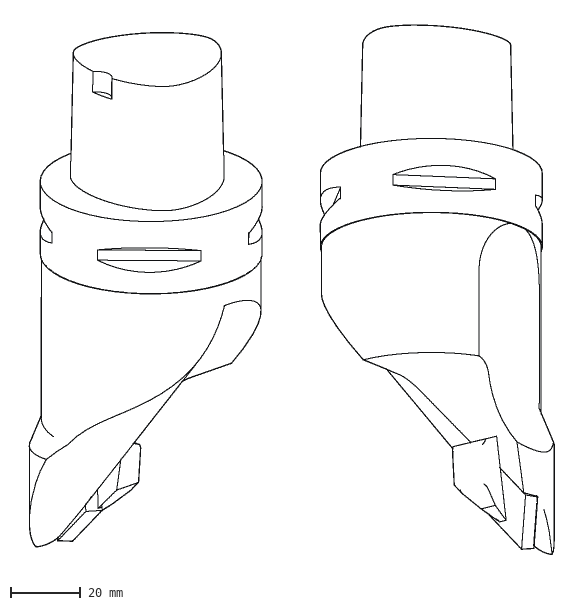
import cadquery as cq
import math

shank_height = 37.9
shank_base_radius = 22.0
shank_top_radius = 21.22
lobe_count = 3
lobe_half_angle = 36.0
curve_steps = 12
lobe_height = 1.65
notch_radius = 4.7
notch_depth = 6.3
notch_center_y = -22.1

flange_radius = 63.5 / 2
flange_bottom = -22.2
groove_count = 4
groove_half_length = 14.8
groove_center_z = -11.8
groove_floor_half_width = 1.5
groove_mouth_half_width = 3.8

body_radius = 63.0 / 2
body_bottom = -72.9

head_radius = 32.8
head_center_x = -3.0
head_bottom = -119.9
shoulder_z = -78.5
shoulder_tilt = 8.6

recess_floor_x = -28.1
recess_flat_top = -38.5
recess_flat_bottom = -68.6
recess_arc_sweep = 40.0
recess_upper_radius = 42.6
recess_lower_radius = 33.9

ridge_radius = 22.1
ridge_web_height = 10.7
ridge_crest_upper = cq.Vector(26.5, -18.5, -51.0)
ridge_crest_lower = cq.Vector(-31.5, -11.0, -117.0)

ledge_z = -64.4
chip_face_tip_y = 0.2
chip_face_tilt = 10.5
chip_fillet = 5.2

insert_tip_x = -32.7
insert_edge = 15.6
insert_thickness = 6.3
insert_left_angle = 103.2
insert_right_angle = 50.0
insert_side_taper = 3.0
insert_relief_gap = 0.8

clamp_left_x = -28.4
clamp_tip_x = -26.0
clamp_right_x = -16.5
clamp_right_z = -100.2
clamp_top_z = -86.0
clamp_bottom_z = -110.7
clamp_crown_y = 12.3
clamp_crown_top_z = -88.7
clamp_crown_bottom_z = -102.2
clamp_toe_y = 7.0
clamp_toe_z = -107.6
clamp_root = 1.5
clamp_round = 1.0

reach = 94.7
overrun = 7.9


def chip_face_y(z):
    """Y of the tilted chip face at height z."""
    return chip_face_tip_y + (z - head_bottom) * math.tan(math.radians(chip_face_tilt))


def direction(angle):
    return math.cos(math.radians(angle)), math.sin(math.radians(angle))


def lobed_point(mean_radius, z, angle):
    """Point on a constant-width three-lobed curve with one lobe on +Y; angle in degrees."""
    cos_angle, sin_angle = direction(angle)
    cos_lobe, sin_lobe = direction(lobe_count * (angle - 90))
    support = mean_radius + lobe_height * cos_lobe
    slope = -lobe_count * lobe_height * sin_lobe
    x = support * cos_angle - slope * sin_angle
    y = support * sin_angle + slope * cos_angle
    return cq.Vector(x, y, z)


def lobed_wire(mean_radius, z):
    """Closed three-lobed outline made of alternating lobe and flank curves."""
    pitch = 360 / lobe_count
    breaks = []
    for i in range(lobe_count):
        lobe = 90 + pitch * i
        breaks += [lobe - lobe_half_angle, lobe + lobe_half_angle]
    breaks.append(breaks[0] + 360)
    edges = []
    for start, end in zip(breaks, breaks[1:]):
        step = (end - start) / curve_steps
        points = [lobed_point(mean_radius, z, start + k * step) for k in range(curve_steps + 1)]
        edges.append(cq.Edge.makeSpline(points))
    return cq.Wire.assembleEdges(edges)


def make_shank():
    base = lobed_wire(shank_base_radius, 0)
    top = lobed_wire(shank_top_radius, shank_height)
    shank = cq.Workplane(cq.Solid.makeLoft([base, top], True))
    notch = (
        cq.Workplane("XY", origin=(0, notch_center_y, shank_height - notch_depth))
        .circle(notch_radius)
        .extrude(2 * notch_depth)
    )
    return shank.cut(notch)


def make_flange():
    flange = cq.Workplane("XY").circle(flange_radius).extrude(flange_bottom)
    floor_distance = math.sqrt(flange_radius**2 - groove_half_length**2)
    flare = (groove_mouth_half_width - groove_floor_half_width) / (flange_radius - floor_distance)
    outer_distance = flange_radius + overrun
    outer_half_width = groove_floor_half_width + flare * (outer_distance - floor_distance)
    groove = (
        cq.Workplane("XZ", origin=(0, 0, groove_center_z))
        .polyline([
            (floor_distance, -groove_floor_half_width),
            (outer_distance, -outer_half_width),
            (outer_distance, outer_half_width),
            (floor_distance, groove_floor_half_width),
        ])
        .close()
        .extrude(groove_half_length, both=True)
    )
    for i in range(groove_count):
        angle = (i + 0.5) * 360 / groove_count
        flange = flange.cut(groove.rotate((0, 0, 0), (0, 0, 1), angle))
    return flange


def make_body():
    return cq.Workplane("XY", origin=(0, 0, body_bottom)).circle(body_radius).extrude(flange_bottom - body_bottom)


def make_head():
    tilt = math.radians(shoulder_tilt)
    shoulder_plane = cq.Plane(
        origin=(head_center_x, 0, shoulder_z),
        xDir=(math.cos(tilt), 0, math.sin(tilt)),
        normal=(-math.sin(tilt), 0, math.cos(tilt)),
    )
    column = (
        cq.Workplane("XY", origin=(head_center_x, 0, head_bottom))
        .circle(head_radius)
        .extrude(body_bottom - head_bottom)
    )
    above_shoulder = cq.Workplane(shoulder_plane).rect(reach, reach).extrude(reach)
    lower = column.cut(above_shoulder)
    shoulder_ring = cq.Workplane(shoulder_plane).ellipse(head_radius / math.cos(tilt), head_radius).wires().val()
    body_ring = cq.Workplane("XY", origin=(0, 0, body_bottom)).circle(body_radius).wires().val()
    shoulder = cq.Solid.makeLoft([body_ring, shoulder_ring], True)
    return lower.union(cq.Workplane(shoulder))


def make_side_recess():
    """Scoop along the -X side: a flat floor that curves out at both ends."""
    sweep = math.radians(recess_arc_sweep)

    def arc_point(radius, end_z, sign, angle):
        x = recess_floor_x - radius * (1 - math.cos(angle))
        return x, end_z + sign * radius * math.sin(angle)

    top_mid = arc_point(recess_upper_radius, recess_flat_top, 1, sweep / 2)
    top_end = arc_point(recess_upper_radius, recess_flat_top, 1, sweep)
    bottom_mid = arc_point(recess_lower_radius, recess_flat_bottom, -1, sweep / 2)
    bottom_end = arc_point(recess_lower_radius, recess_flat_bottom, -1, sweep)
    return (
        cq.Workplane("XZ")
        .moveTo(*top_end)
        .threePointArc(top_mid, (recess_floor_x, recess_flat_top))
        .lineTo(recess_floor_x, recess_flat_bottom)
        .threePointArc(bottom_mid, bottom_end)
        .close()
        .extrude(reach, both=True)
    )


def make_underside_cut():
    """Removes everything below a sloping plane except a round ridge that leads to the tip."""
    plane = cq.Plane(
        origin=ridge_crest_upper,
        xDir=(0, 1, 0),
        normal=ridge_crest_upper - ridge_crest_lower,
    )
    below = (
        cq.Workplane(plane)
        .center(0, ridge_web_height - reach / 2)
        .rect(2 * reach, reach)
        .extrude(2 * reach, both=True)
    )
    ridge = cq.Workplane(plane).center(0, ridge_radius).circle(ridge_radius).extrude(2 * reach, both=True)
    return below.cut(ridge)


def make_chip_cut():
    """Opens the +Y side below the ledge, leaving the tilted chip face."""
    floor_z = head_bottom - overrun
    cut = (
        cq.Workplane("YZ")
        .polyline([
            (chip_face_y(ledge_z), ledge_z),
            (reach, ledge_z),
            (reach, floor_z),
            (chip_face_y(floor_z), floor_z),
        ])
        .close()
        .extrude(reach, both=True)
    )
    corner = cq.selectors.NearestToPointSelector((0, chip_face_y(ledge_z), ledge_z))
    return cut.edges(corner).fillet(chip_fillet)


def make_tip_relief():
    """Plane behind the insert's left cutting edge."""
    edge_x, edge_z = direction(insert_left_angle)
    start_x = insert_tip_x + insert_relief_gap / edge_z
    end_x = start_x + reach * edge_x
    end_z = head_bottom + reach * edge_z
    lower_x = start_x - overrun * edge_x
    lower_z = head_bottom - overrun * edge_z
    return (
        cq.Workplane("XZ")
        .polyline([(lower_x, lower_z), (end_x, end_z), (-reach, end_z), (-reach, lower_z)])
        .close()
        .extrude(reach, both=True)
    )


def make_clamp():
    profile = (
        cq.Workplane("YZ", origin=(clamp_left_x, 0, 0))
        .polyline([
            (chip_face_y(clamp_top_z) - clamp_root, clamp_top_z),
            (clamp_crown_y - clamp_round, clamp_crown_top_z),
            (clamp_crown_y, clamp_crown_top_z - 2 * clamp_round),
            (clamp_crown_y - clamp_round, clamp_crown_bottom_z),
            (clamp_toe_y, clamp_toe_z),
            (chip_face_y(clamp_bottom_z), clamp_bottom_z),
            (chip_face_y(clamp_bottom_z) - clamp_root, clamp_bottom_z),
        ])
        .close()
        .extrude(clamp_right_x - clamp_left_x)
    )
    outline = (
        cq.Workplane("XZ")
        .polyline([
            (clamp_left_x, clamp_top_z),
            (clamp_right_x, clamp_top_z),
            (clamp_right_x, clamp_right_z),
            (clamp_tip_x, clamp_bottom_z),
            (clamp_left_x, clamp_bottom_z),
        ])
        .close()
        .extrude(reach, both=True)
    )
    lug = profile.intersect(outline)
    return lug.faces(">Y").edges().fillet(clamp_round)


def make_insert():
    tilt = math.radians(chip_face_tilt)
    plane = cq.Plane(
        origin=(insert_tip_x, chip_face_tip_y, head_bottom),
        xDir=(-1, 0, 0),
        normal=(0, math.cos(tilt), -math.sin(tilt)),
    )
    left_x, left_z = direction(insert_left_angle)
    right_x, right_z = direction(insert_right_angle)
    left = (-insert_edge * left_x, insert_edge * left_z)
    right = (-insert_edge * right_x, insert_edge * right_z)
    far = (left[0] + right[0], left[1] + right[1])
    return (
        cq.Workplane(plane)
        .polyline([(0, 0), left, far, right])
        .close()
        .extrude(-insert_thickness, taper=insert_side_taper)
    )


def make_holder(insert):
    holder = make_body().union(make_head())
    holder = holder.cut(make_side_recess())
    holder = holder.cut(make_underside_cut())
    holder = holder.cut(make_chip_cut())
    holder = holder.cut(make_tip_relief())
    holder = holder.union(make_clamp())
    holder = holder.union(make_flange()).union(make_shank())
    return holder.cut(insert)


insert = make_insert()
holder = make_holder(insert)
result = cq.Compound.makeCompound([*holder.vals(), insert.val()])